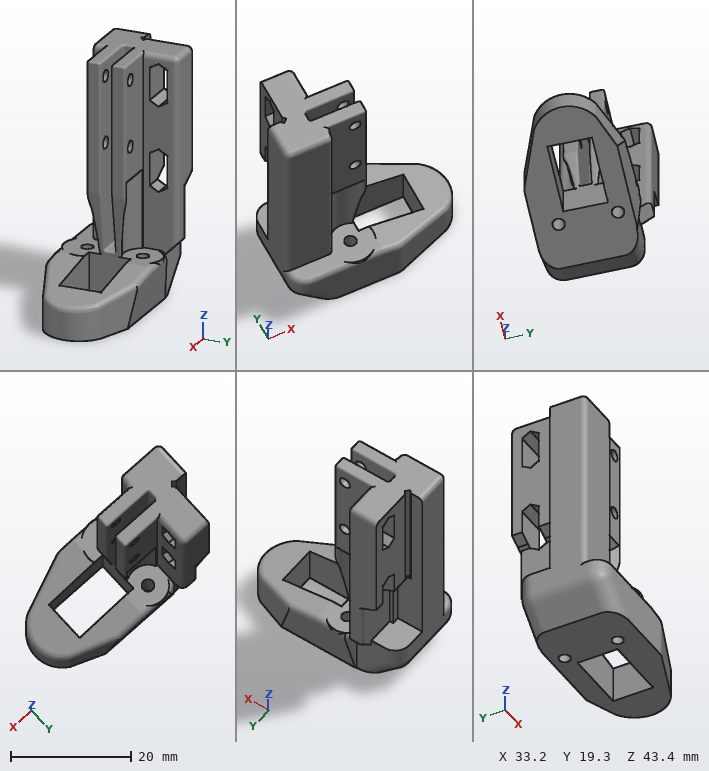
import cadquery as cq
import math

LENGTH = 33.18
HEIGHT = 43.35

CORNER_R = 3.0
RIM_R = 1.0
FIN_R = 0.4

FOOT_TOP = 8.4
FOOT_HALF = 9.35
CHAMFER = 4.45
HEEL_Y = 7.45
HEEL_END_X = 8.7
STEP_SLOPE = 32.0
RAMP_START_X = 16.45
TOE_Z = 5.8
TAPER_START_X = 19.65
TOE_X = 30.15
TOE_HALF = 5.3
SIDE_TOP_Y = 8.67
SIDE_BOTTOM_Y = 7.6

SCREW_X = 12.4
SCREW_Y = 5.07
HOLE_D = 2.1
HEAD_R = 3.5
FRONT_BOSS_R = 4.25
WINDOW_LEFT = 14.55
WINDOW_RIGHT = 26.65
WINDOW_HALF = 3.8

COLUMN_X = 8.9
COLUMN_FRONT = -5.9
COLUMN_BACK = 9.9
COLUMN_ROOT = 6.07
BACK_CHAMFER_Z = 10.15

SEAT_X = 3.0
SEAT_Y = 0.9
SEAT_FLOOR = 9.2
SEAT_BOTTOM = 21.25
POCKET_X = 5.72
POCKET_Y = 2.25
POCKET_TOP = 19.75
POCKET_R = 0.6
STRIP_X = 5.05
STRIP_TOP = 20.12
RELIEF_WIDTH = 0.95
RELIEF_DEPTH = 0.2

HEX_Y = 6.35
HEX_WIDTH = 3.2
HEX_HEIGHT = 7.68
HEX_LOW_Z = 22.65
HEX_PITCH = 15.3

FIN_END = 16.2
FIN_HALF = 3.5
FIN_ROOT_X = 6.0
FIN_SLOPE_TOP = 19.78
FIN_FOOT_X = 14.55
UNDERCUT_TOP = 22.5
SLOT_HALF = 1.0
SLOT_END_X = 6.85
SLOT_FLOOR_R = 2.0
CLAMP_HOLE_X = 14.05
CLAMP_HOLE_LOW_Z = 28.35
CLAMP_HOLE_PITCH = 11.95


def block(x0, x1, y0, y1, z0, z1):
    return cq.Workplane("XY").box(x1 - x0, y1 - y0, z1 - z0, centered=False).translate((x0, y0, z0))


def along_y(points, y0, y1):
    """Prism over X-Z points, from y0 to y1."""
    return cq.Workplane("XZ", origin=(0, y0, 0)).polyline(points).close().extrude(y0 - y1)


def along_x(points, x0, x1):
    """Prism over Y-Z points, from x0 to x1."""
    return cq.Workplane("YZ", origin=(x0, 0, 0)).polyline(points).close().extrude(x1 - x0)


def pin(x, y, radius, z0, z1):
    return cq.Workplane("XY", origin=(x, y, z0)).circle(radius).extrude(z1 - z0)


def beyond_leaning_side():
    """Space outside the leaning +Y side of the foot."""
    rise = (SIDE_TOP_Y - SIDE_BOTTOM_Y) / FOOT_TOP
    far = 2 * FOOT_HALF
    top = HEIGHT / 2
    points = [(SIDE_BOTTOM_Y, 0), (SIDE_BOTTOM_Y + rise * top, top), (far, top), (far, 0)]
    return along_x(points, HEEL_END_X, LENGTH)


def rounded_heel(top):
    """Back end of the foot: chamfered below and rounded on every edge around the chamfer."""
    points = [(CHAMFER, 0), (HEEL_END_X, 0), (HEEL_END_X, top), (0, top), (0, CHAMFER)]
    heel = along_y(points, -FOOT_HALF, HEEL_Y)
    margin = 0.05
    around_chamfer = cq.selectors.BoxSelector(
        (-margin, -FOOT_HALF - margin, margin), (CHAMFER - margin, HEEL_Y + margin, top - margin)
    )
    return heel.edges(around_chamfer).fillet(CORNER_R)


def front_of_foot():
    step_end_x = HEEL_END_X + (FOOT_HALF - HEEL_Y) / math.tan(math.radians(STEP_SLOPE))
    plan = (
        cq.Workplane("XY")
        .moveTo(HEEL_END_X, -FOOT_HALF)
        .lineTo(TAPER_START_X, -FOOT_HALF)
        .lineTo(TOE_X, -TOE_HALF)
        .threePointArc((LENGTH, 0), (TOE_X, TOE_HALF))
        .lineTo(TAPER_START_X, FOOT_HALF)
        .lineTo(step_end_x, FOOT_HALF)
        .lineTo(HEEL_END_X, HEEL_Y)
        .close()
        .extrude(FOOT_TOP)
    )
    ramp = [(RAMP_START_X, FOOT_TOP), (LENGTH, TOE_Z), (LENGTH, FOOT_TOP)]
    return plan.cut(along_y(ramp, -FOOT_HALF, FOOT_HALF)).cut(beyond_leaning_side())


def round_rim(body):
    """Round the outer edges of the flat top and the ramp, but not the crease between them."""
    top_faces = [face for face in body.faces("%PLANE").vals() if face.normalAt().z > 0.9]
    outer_edges = []
    for face in top_faces:
        for edge in face.Edges():
            is_crease = edge.startPoint().x == edge.endPoint().x == RAMP_START_X
            if not is_crease and edge.Center().x > 0:
                outer_edges.append(edge)
    return body.newObject(outer_edges).fillet(RIM_R)


def foot():
    body = rounded_heel(FOOT_TOP).union(front_of_foot())
    taper_corner = cq.selectors.NearestToPointSelector((TAPER_START_X, -FOOT_HALF, FOOT_TOP / 2))
    body = round_rim(body.edges("|Z").edges(taper_corner).fillet(CORNER_R))

    seat_base = rounded_heel(SEAT_FLOOR)
    seat_base = seat_base.cut(block(0, LENGTH, -FOOT_HALF, COLUMN_FRONT + RIM_R, 0, HEIGHT))
    body = body.union(seat_base)

    body = body.union(pin(SCREW_X, -SCREW_Y, FRONT_BOSS_R, FOOT_TOP / 2, FOOT_TOP))
    back_boss = pin(SCREW_X, SCREW_Y, HEAD_R, FOOT_TOP / 2, FOOT_TOP)
    return body.union(back_boss.cut(beyond_leaning_side()))


def column_blank():
    """Column before the seat is cut; its front right side follows the screw head clearance."""
    side_x = SCREW_X - HEAD_R
    arc_angle = math.asin((SCREW_Y - FIN_HALF) / HEAD_R)

    def on_clearance(angle):
        return (SCREW_X - HEAD_R * math.cos(angle), -SCREW_Y + HEAD_R * math.sin(angle))

    return (
        cq.Workplane("XY", origin=(0, 0, COLUMN_ROOT))
        .moveTo(0, COLUMN_FRONT)
        .lineTo(side_x, COLUMN_FRONT)
        .lineTo(side_x, -SCREW_Y)
        .threePointArc(on_clearance(arc_angle / 2), on_clearance(arc_angle))
        .lineTo(side_x, FIN_HALF)
        .lineTo(side_x, COLUMN_BACK)
        .lineTo(0, COLUMN_BACK)
        .close()
        .extrude(HEIGHT - COLUMN_ROOT)
    )


def seat_undercut(depth_x, start_y, top):
    """Recess below the rail contact face, under a sloping ceiling."""
    points = [
        (0, COLUMN_ROOT), (depth_x, COLUMN_ROOT), (depth_x, top),
        (SEAT_X, SEAT_BOTTOM), (0, SEAT_BOTTOM),
    ]
    return along_y(points, start_y, COLUMN_BACK)


def round_column(body):
    uprights = body.edges("|Z and (<Y or >Y)").edges("<Y or >X")
    body = body.newObject(uprights.vals()).fillet(RIM_R)
    return body.faces(">Z").edges().fillet(RIM_R)


def column():
    body = round_column(column_blank())

    run = BACK_CHAMFER_Z - COLUMN_ROOT
    underside = [(COLUMN_BACK, COLUMN_ROOT), (COLUMN_BACK, BACK_CHAMFER_Z), (COLUMN_BACK - run, COLUMN_ROOT)]
    body = body.cut(along_x(underside, 0, COLUMN_X))

    body = body.cut(block(0, SEAT_X, SEAT_Y, COLUMN_BACK, COLUMN_ROOT, HEIGHT))
    body = body.cut(seat_undercut(POCKET_X, POCKET_Y, POCKET_TOP))
    body = body.cut(seat_undercut(STRIP_X, SEAT_Y, STRIP_TOP))
    half_relief = RELIEF_WIDTH / 2
    relief = block(-half_relief, half_relief, -RELIEF_DEPTH, half_relief, SEAT_BOTTOM, HEIGHT)
    relief = relief.rotate((0, 0, 0), (0, 0, 1), 45)
    body = body.cut(relief.translate((SEAT_X, SEAT_Y, 0)))

    pocket_corner = cq.selectors.BoxSelector(
        (POCKET_X - 0.05, COLUMN_BACK - run / 2 - 0.45, COLUMN_ROOT),
        (POCKET_X + 0.05, COLUMN_BACK + 0.05, POCKET_TOP),
    )
    body = body.edges(pocket_corner).fillet(POCKET_R)

    for z in (HEX_LOW_Z, HEX_LOW_Z + HEX_PITCH):
        body = body.cut(hex_slot(z))
    return body


def hex_slot(z):
    half_width = HEX_WIDTH / 2
    half_height = HEX_HEIGHT / 2
    side = half_height - half_width * math.tan(math.radians(30))
    points = [
        (0, half_height), (half_width, side), (half_width, -side),
        (0, -half_height), (-half_width, -side), (-half_width, side),
    ]
    return along_x(points, 0, COLUMN_X).translate((0, HEX_Y, z))


def clamp_slot():
    slot = block(SLOT_END_X, LENGTH, -SLOT_HALF, SLOT_HALF, SEAT_FLOOR, HEIGHT + RIM_R)
    slot = slot.edges("|Y and <X and <Z").fillet(SLOT_FLOOR_R)
    return slot.edges("|X and <Z").fillet(FIN_R)


def screw_clearance(side):
    """Space above a screw head, under a 45 degree ceiling; side is +1 or -1 in Y."""
    outer_y = FIN_HALF + 2 * HEAD_R
    section = [
        (0, 0), (0, UNDERCUT_TOP - FIN_HALF), (side * FIN_HALF, UNDERCUT_TOP),
        (side * outer_y, UNDERCUT_TOP), (side * outer_y, 0),
    ]
    return pin(SCREW_X, side * SCREW_Y, HEAD_R, FOOT_TOP, HEIGHT).intersect(along_x(section, 0, LENGTH))


def fins():
    lean = (FIN_END - FIN_FOOT_X) / (FIN_SLOPE_TOP - FOOT_TOP)
    root_end_x = FIN_FOOT_X - lean * (FOOT_TOP - COLUMN_ROOT)
    profile = [
        (FIN_ROOT_X, COLUMN_ROOT), (root_end_x, COLUMN_ROOT),
        (FIN_END, FIN_SLOPE_TOP), (FIN_END, HEIGHT), (FIN_ROOT_X, HEIGHT),
    ]
    body = along_y(profile, -FIN_HALF, FIN_HALF).cut(clamp_slot())
    for side in (-1, 1):
        body = body.cut(screw_clearance(side))

    rounded = []
    for edge in body.edges().vals():
        center = edge.Center()
        at_top = center.z > HEIGHT - FIN_R and center.x > FIN_ROOT_X
        at_end = center.x > FIN_FOOT_X and center.z > FOOT_TOP
        if at_top or at_end:
            rounded.append(edge)
    body = body.newObject(rounded).fillet(FIN_R)

    for z in (CLAMP_HOLE_LOW_Z, CLAMP_HOLE_LOW_Z + CLAMP_HOLE_PITCH):
        bore = cq.Workplane("XZ", origin=(CLAMP_HOLE_X, FIN_HALF, z)).circle(HOLE_D / 2).extrude(2 * FIN_HALF)
        body = body.cut(bore)
    return body


def bracket():
    inner_half = FIN_HALF - 2 * FIN_R
    fin_space = block(FIN_ROOT_X, LENGTH, -inner_half, inner_half, SEAT_FLOOR - FIN_R, HEIGHT)
    body = foot().union(column().cut(fin_space)).union(fins())
    body = body.cut(block(WINDOW_LEFT, WINDOW_RIGHT, -WINDOW_HALF, WINDOW_HALF, 0, FOOT_TOP))
    for side in (-1, 1):
        body = body.cut(pin(SCREW_X, side * SCREW_Y, HOLE_D / 2, 0, FOOT_TOP))
    return body


result = bracket()